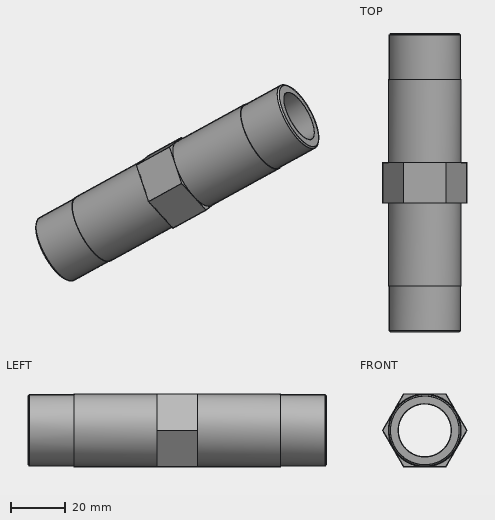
import cadquery as cq
import math

total_length = 110.0
hex_across_flats = 27.0
hex_length = 15.0
body_diameter = 26.8
end_diameter = 26.4
end_length = 16.9
bore_diameter = 19.5
end_chamfer = 0.5

hex_across_corners = hex_across_flats / math.cos(math.pi / 6)
body_length = total_length - 2 * end_length


def centered_along_y(profile, length):
    """Extrude a profile drawn on the XZ plane equally to both sides of the origin."""
    return profile.extrude(length / 2, both=True)


def cylinder(diameter, length):
    return centered_along_y(cq.Workplane("XZ").circle(diameter / 2), length)


ends = cylinder(end_diameter, total_length).faces("<Y or >Y").edges().chamfer(end_chamfer)
body = cylinder(body_diameter, body_length)

hexagon = centered_along_y(cq.Workplane("XZ").polygon(6, hex_across_corners), hex_length)

bore = cylinder(bore_diameter, total_length)

result = ends.union(body).union(hexagon).cut(bore)